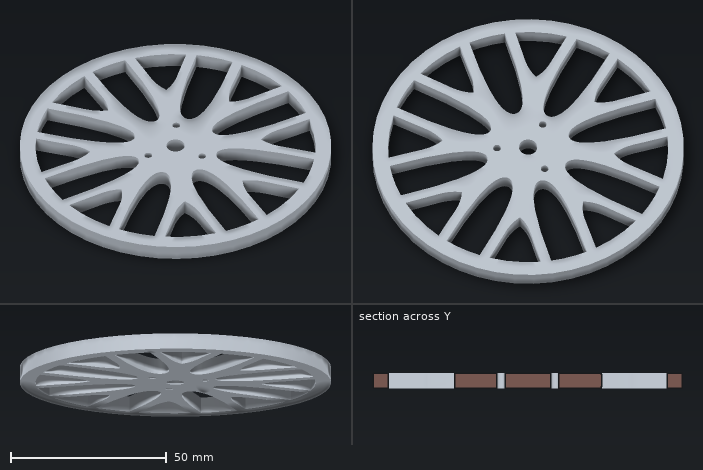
import math

import cadquery as cq

WHEEL_DIAMETER = 100.0
WHEEL_THICKNESS = 5.0
RIM_WIDTH = 5.0
RIM_INNER_RADIUS = WHEEL_DIAMETER / 2 - RIM_WIDTH

BORE_DIAMETER = 5.9
SCREW_HOLE_DIAMETER = 2.5
SCREW_HOLE_COUNT = 3
SCREW_CIRCLE_RADIUS = 10.0
FIRST_SCREW_ANGLE = -90.0

OPENING_COUNT = 8
PITCH_ANGLE = 360.0 / OPENING_COUNT

SLOT_HALF_WIDTH = 6.0
SLOT_TIP_RADIUS = 13.7
SLOT_OUTER_CONTROL = (19.3, -6.35)
SLOT_INNER_CONTROL = (SLOT_TIP_RADIUS, -3.0)

SPOKE_WIDTH = 3.25
POCKET_TIP_RADIUS = 27.6
POCKET_OUTER_CONTROL = (34.4, 9.5)
POCKET_INNER_CONTROL = (30.9, 8.05)


def rim_point(offset):
    """Point on the rim's inner circle at a sideways offset from the +X axis."""
    return (math.sqrt(RIM_INNER_RADIUS**2 - offset**2), offset)


def rotate_point(point, degrees):
    """Rotate a point about the wheel axis."""
    angle = math.radians(degrees)
    x, y = point
    return (
        x * math.cos(angle) - y * math.sin(angle),
        x * math.sin(angle) + y * math.cos(angle),
    )


def mirror_point(point):
    """Mirror a point across the X axis."""
    return (point[0], -point[1])


def make_disc():
    return cq.Workplane("XY").circle(WHEEL_DIAMETER / 2).extrude(WHEEL_THICKNESS)


def make_opening(side_curve):
    """Opening along +X from its lower side curve, which runs from the rim to the tip.

    The curve is a cubic Bezier; the upper side mirrors it and the rim circle closes the outline.
    """
    rim_corner = side_curve[0]
    upper_curve = [mirror_point(point) for point in reversed(side_curve)]
    return (
        cq.Workplane("XY")
        .moveTo(*rim_corner)
        .bezier(side_curve)
        .bezier(upper_curve)
        .threePointArc((RIM_INNER_RADIUS, 0), rim_corner)
        .close()
        .extrude(WHEEL_THICKNESS)
    )


def make_slot():
    """Long slot along +X with nearly parallel outer sides and a rounded inner tip."""
    return make_opening([
        rim_point(-SLOT_HALF_WIDTH),
        SLOT_OUTER_CONTROL,
        SLOT_INNER_CONTROL,
        (SLOT_TIP_RADIUS, 0),
    ])


def make_pocket():
    """Pocket along +X, with sides running beside the two neighbouring slots."""
    beside_slot = [
        rim_point(SLOT_HALF_WIDTH + SPOKE_WIDTH),
        POCKET_OUTER_CONTROL,
        POCKET_INNER_CONTROL,
    ]
    side_curve = [rotate_point(point, -PITCH_ANGLE / 2) for point in beside_slot]
    return make_opening(side_curve + [(POCKET_TIP_RADIUS, 0)])


def cut_openings(wheel):
    """Cut the ring of slots and the pockets between them."""
    slot = make_slot()
    pocket = make_pocket()
    for index in range(OPENING_COUNT):
        slot_angle = index * PITCH_ANGLE
        pocket_angle = slot_angle + PITCH_ANGLE / 2
        wheel = wheel.cut(slot.rotate((0, 0, 0), (0, 0, 1), slot_angle))
        wheel = wheel.cut(pocket.rotate((0, 0, 0), (0, 0, 1), pocket_angle))
    return wheel


def cut_hub_holes(wheel):
    """Cut the central bore and the ring of screw holes around it."""
    bore = cq.Workplane("XY").circle(BORE_DIAMETER / 2).extrude(WHEEL_THICKNESS)
    screw_holes = (
        cq.Workplane("XY")
        .polarArray(SCREW_CIRCLE_RADIUS, FIRST_SCREW_ANGLE, 360, SCREW_HOLE_COUNT)
        .circle(SCREW_HOLE_DIAMETER / 2)
        .extrude(WHEEL_THICKNESS)
    )
    return wheel.cut(bore).cut(screw_holes)


result = cut_hub_holes(cut_openings(make_disc()))